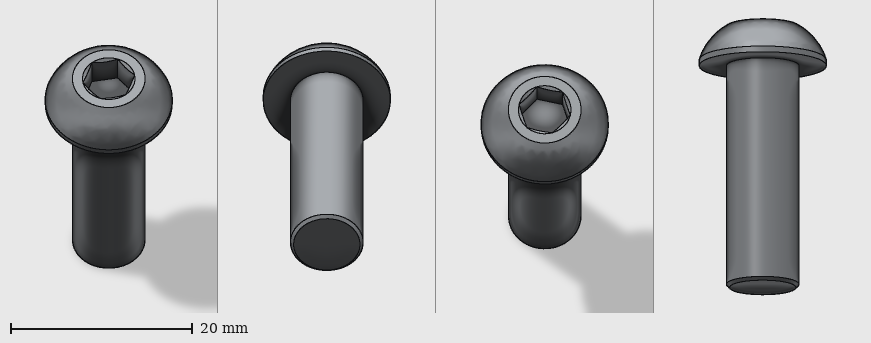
import cadquery as cq
import math

shank_diameter = 8.0
shank_length = 25.0
tip_chamfer = 0.35

head_diameter = 14.0
head_height = 4.4
rim_height = 0.65
head_flat_diameter = 8.0
dome_bulge = 0.45

hex_across_flats = 5.0
hex_sides = 6
hex_across_corners = hex_across_flats / math.cos(math.pi / hex_sides)
hex_turn = 90.0
hex_depth = 3.4
mouth_cone_angle = 60.0


def make_shank():
    shank = cq.Workplane("XY").circle(shank_diameter / 2).extrude(-shank_length)
    return shank.faces("<Z").chamfer(tip_chamfer)


def make_head():
    """Revolve the half profile: cylindrical rim, domed side, flat top."""
    rim_point = (head_diameter / 2, rim_height)
    flat_point = (head_flat_diameter / 2, head_height)
    return (
        cq.Workplane("XZ")
        .lineTo(head_diameter / 2, 0)
        .lineTo(*rim_point)
        .sagittaArc(flat_point, -dome_bulge)
        .lineTo(0, head_height)
        .close()
        .revolve(360, (0, 0), (0, 1))
    )


def make_socket():
    """Hexagonal recess with two corners on the Y axis and a conical mouth."""
    hexagon = (
        cq.Workplane("XY", origin=(0, 0, head_height))
        .transformed(rotate=(0, 0, hex_turn))
        .polygon(hex_sides, hex_across_corners)
        .extrude(-hex_depth)
    )
    mouth_radius = hex_across_corners / 2
    mouth_depth = mouth_radius / math.tan(math.radians(mouth_cone_angle))
    mouth = cq.Workplane(
        cq.Solid.makeCone(0, mouth_radius, mouth_depth, pnt=(0, 0, head_height - mouth_depth))
    )
    return hexagon.union(mouth)


result = make_shank().union(make_head()).cut(make_socket())